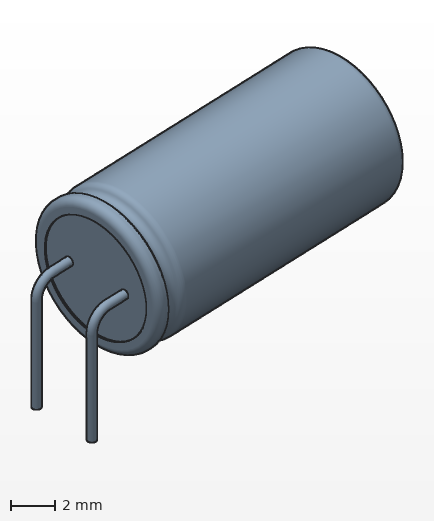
import cadquery as cq
import math

can_diameter = 8.0
can_length = 15.99
can_radius = can_diameter / 2
rim_fillet = 0.4

groove_radius = 0.4
groove_center = 1.1
base_lip_fillet = 0.15
body_lip_fillet = 0.4

recess_diameter = 6.4
recess_depth = 0.1

lead_diameter = 0.5
lead_spacing = 3.49
overall_length = 18.25
lead_reach = overall_length - can_length
lead_drop = 7.1
lead_bend_radius = 1.0
lead_axis_reach = lead_reach - lead_diameter / 2


def lip_points(fillet, side):
    """Groove lip blend as (radius, y): end on the can, middle, end on the groove wall.

    side is -1 for the lip nearer the base and +1 for the lip nearer the body.
    """
    center_gap = groove_radius + fillet
    tilt = math.asin(fillet / center_gap)
    span = center_gap * math.cos(tilt)
    center_y = groove_center + side * span
    sweep = math.pi / 2 - tilt

    def on_blend(turn):
        r = can_radius - fillet + fillet * math.cos(turn)
        return (r, center_y - side * fillet * math.sin(turn))

    return on_blend(0), on_blend(sweep / 2), on_blend(sweep)


def make_can():
    base_lip = lip_points(base_lip_fillet, -1)
    body_lip = lip_points(body_lip_fillet, 1)
    rim_middle = rim_fillet * (1 - math.sqrt(0.5))
    profile = (
        cq.Workplane("XY")
        .lineTo(can_radius - rim_fillet, 0)
        .threePointArc((can_radius - rim_middle, rim_middle), (can_radius, rim_fillet))
        .lineTo(*base_lip[0])
        .threePointArc(base_lip[1], base_lip[2])
        .threePointArc((can_radius - groove_radius, groove_center), body_lip[2])
        .threePointArc(body_lip[1], body_lip[0])
        .lineTo(can_radius, can_length - rim_fillet)
        .threePointArc(
            (can_radius - rim_middle, can_length - rim_middle),
            (can_radius - rim_fillet, can_length),
        )
        .lineTo(0, can_length)
        .close()
    )
    return profile.revolve(360, (0, 0, 0), (0, 1, 0))


def make_recess():
    return cq.Workplane("XZ").circle(recess_diameter / 2).extrude(-recess_depth)


def make_lead(x):
    bend_start = lead_axis_reach - lead_bend_radius
    bend_middle = lead_bend_radius * math.sqrt(0.5)
    path = (
        cq.Workplane("YZ", origin=(x, 0, 0))
        .moveTo(recess_depth, 0)
        .lineTo(-bend_start, 0)
        .threePointArc(
            (-bend_start - bend_middle, bend_middle - lead_bend_radius),
            (-lead_axis_reach, -lead_bend_radius),
        )
        .lineTo(-lead_axis_reach, -lead_drop)
    )
    section = cq.Workplane("XZ", origin=(x, recess_depth, 0)).circle(lead_diameter / 2)
    return section.sweep(path)


result = make_can().cut(make_recess())
for lead_x in (-lead_spacing / 2, lead_spacing / 2):
    result = result.union(make_lead(lead_x))